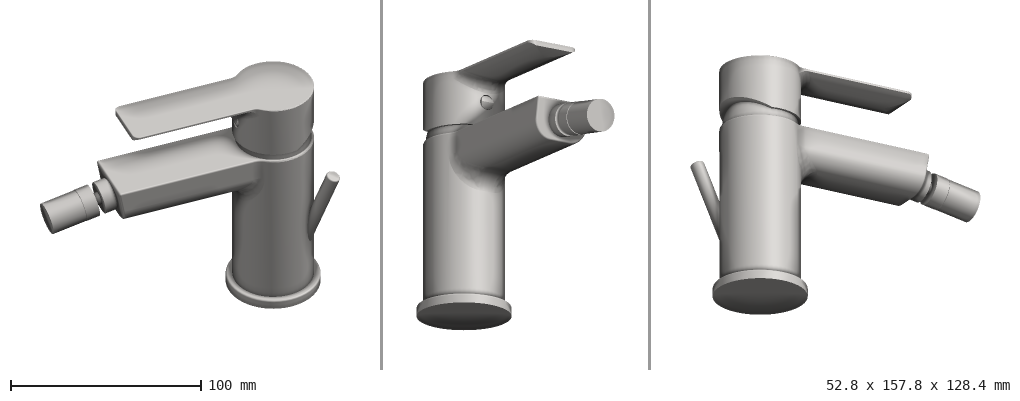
import cadquery as cq
import math

COLUMN_DIAMETER = 43.0
COLUMN_RADIUS = COLUMN_DIAMETER / 2
COLUMN_TOP = 95.0
FLANGE_DIAMETER = 50.0
FLANGE_RADIUS = FLANGE_DIAMETER / 2
FLANGE_HEIGHT = 5.2
FLANGE_ROUND = 1.0

DOME_RADIUS = 20.2

SPOUT_WIDTH = 32.2
SPOUT_HEIGHT = 22.0
SPOUT_REACH = 93.8
SPOUT_CORNER_RADIUS = 10.0
SPOUT_BLEND_RADIUS = 10.0
SPOUT_EDGE_ROUND = 1.0
OUTLET_TILT = 10.0
OUTLET_DROP = 10.7

SEAT_RADIUS = 8.2
SEAT_LENGTH = 0.6
COLLAR_RADIUS = 8.8
COLLAR_LENGTH = 6.3
NECK_RADIUS = 3.5
NECK_LENGTH = 3.5
RING_RADIUS = 8.8
RING_LENGTH = 7.4
GROOVE_RADIUS = 8.2
GROOVE_LENGTH = 0.3
TIP_RADIUS = 8.7
TIP_LENGTH = 19.0

HANDLE_RADIUS = COLUMN_RADIUS
HANDLE_BOTTOM = 99.2
HANDLE_TOP = 128.4
HANDLE_REAR_BOTTOM = 107.1
REAR_SLANT_START = 4.9
LEVER_WIDTH = 29.5
LEVER_REACH = 84.7
LEVER_CORNER_RADIUS = 3.5
LEVER_EDGE_THICKNESS = 1.3
LEVER_MIDDLE_THICKNESS = 5.5
LEVER_TIP_THICKNESS = 3.0
LEVER_TIP_CURVE_LENGTH = 9.1
LEVER_BLEND_RADIUS = 5.8
HANDLE_EDGE_ROUND = 0.5

BUTTON_HEIGHT = 112.0
BUTTON_RADIUS = 3.8
BUTTON_BORE_RADIUS = 4.1
BUTTON_PROTRUSION = 1.0
BUTTON_RIDGE_DROP = 1.5
BUTTON_BORE_DEPTH = 2.4

ROD_RADIUS = 3.8
ROD_TILT = 20.0
ROD_AZIMUTH = 45.0
ROD_TOP_HEIGHT = 78.9
ROD_TOP_OFFSET = 34.4
ROD_LENGTH = 50.5
ROD_TOP_ROUND = 0.8

SPOUT_BOTTOM = COLUMN_TOP - SPOUT_HEIGHT
LEVER_UNDERSIDE = HANDLE_TOP - LEVER_MIDDLE_THICKNESS

SELECTION_MARGIN = 1.5


def make_rod():
    """Round rod leaning away from the column, with its lower end inside it."""
    rod = cq.Workplane("XY").circle(ROD_RADIUS).extrude(-ROD_LENGTH)
    rod = rod.faces(">Z").edges().fillet(ROD_TOP_ROUND)
    rod = rod.rotate((0, 0, 0), (0, 1, 0), ROD_TILT)
    rod = rod.translate((ROD_TOP_OFFSET, 0, ROD_TOP_HEIGHT))
    return rod.rotate((0, 0, 0), (0, 0, 1), ROD_AZIMUTH)


def make_spout():
    """Straight spout with rounded lower corners and a leaning end face."""
    end_setback = SPOUT_HEIGHT * math.tan(math.radians(OUTLET_TILT))
    spout = (
        cq.Workplane("YZ")
        .moveTo(0, COLUMN_TOP)
        .lineTo(-SPOUT_REACH, COLUMN_TOP)
        .lineTo(end_setback - SPOUT_REACH, SPOUT_BOTTOM)
        .lineTo(0, SPOUT_BOTTOM)
        .close()
        .extrude(SPOUT_WIDTH / 2, both=True)
    )
    return spout.edges("|Y and <Z").fillet(SPOUT_CORNER_RADIUS)


def make_dome():
    """Ball centred on the column's top plane."""
    return cq.Workplane("XY").sphere(DOME_RADIUS).translate((0, 0, COLUMN_TOP))


def make_body(rod, dome):
    """Flanged column, spout and ball cap, with a hole for the rod."""
    flange = cq.Workplane("XY").circle(FLANGE_RADIUS).extrude(FLANGE_HEIGHT)
    flange = flange.faces(">Z").edges().fillet(FLANGE_ROUND)
    column = cq.Workplane("XY").circle(COLUMN_RADIUS).extrude(COLUMN_TOP)
    body = column.union(make_spout())

    blend_zone = cq.selectors.BoxSelector(
        (-COLUMN_RADIUS, -COLUMN_RADIUS - SELECTION_MARGIN, SPOUT_BOTTOM - SELECTION_MARGIN),
        (COLUMN_RADIUS, -SPOUT_CORNER_RADIUS, COLUMN_TOP - SELECTION_MARGIN),
    )
    body = body.edges(blend_zone).fillet(SPOUT_BLEND_RADIUS)

    end_edges = body.faces("<Y").edges().vals()
    top_edges = body.faces(">Z").edges("|Y").vals()
    body = body.newObject(end_edges + top_edges).fillet(SPOUT_EDGE_ROUND)

    return body.union(flange).union(dome).cut(rod)


def make_nozzle():
    """Seat, collar, neck, ring, groove and tip in line, square to the spout's end face."""
    steps = (
        (COLLAR_RADIUS, COLLAR_LENGTH),
        (NECK_RADIUS, NECK_LENGTH),
        (RING_RADIUS, RING_LENGTH),
        (GROOVE_RADIUS, GROOVE_LENGTH),
        (TIP_RADIUS, TIP_LENGTH),
    )
    nozzle = cq.Workplane("XZ").circle(SEAT_RADIUS).extrude(SEAT_LENGTH)
    for radius, length in steps:
        nozzle = nozzle.faces("<Y").workplane().circle(radius).extrude(length)
    face_setback = OUTLET_DROP * math.tan(math.radians(OUTLET_TILT))
    nozzle = nozzle.rotate((0, 0, 0), (1, 0, 0), OUTLET_TILT)
    return nozzle.translate((0, face_setback - SPOUT_REACH, COLUMN_TOP - OUTLET_DROP))


def make_lever():
    """Flat-topped lever with a crowned underside and rounded front corners."""
    half_width = LEVER_WIDTH / 2
    lever = (
        cq.Workplane("XZ")
        .moveTo(-half_width, HANDLE_TOP)
        .lineTo(-half_width, HANDLE_TOP - LEVER_EDGE_THICKNESS)
        .threePointArc((0, LEVER_UNDERSIDE), (half_width, HANDLE_TOP - LEVER_EDGE_THICKNESS))
        .lineTo(half_width, HANDLE_TOP)
        .close()
        .extrude(LEVER_REACH)
    )
    return lever.edges("|Z and <Y").fillet(LEVER_CORNER_RADIUS)


def make_tip_cutter():
    """Material to remove below the lever so that it thins out toward the tip."""
    return (
        cq.Workplane("YZ")
        .moveTo(-LEVER_REACH / 2, LEVER_UNDERSIDE)
        .lineTo(LEVER_TIP_CURVE_LENGTH - LEVER_REACH, LEVER_UNDERSIDE)
        .tangentArcPoint((-LEVER_REACH, HANDLE_TOP - LEVER_TIP_THICKNESS), relative=False)
        .lineTo(-LEVER_REACH, HANDLE_BOTTOM)
        .lineTo(-LEVER_REACH / 2, HANDLE_BOTTOM)
        .close()
        .extrude(LEVER_WIDTH, both=True)
    )


def make_rear_cutter():
    """Wedge below the rear of the handle that lets the lever tilt up."""
    return (
        cq.Workplane("YZ")
        .moveTo(REAR_SLANT_START, HANDLE_BOTTOM)
        .lineTo(HANDLE_RADIUS, HANDLE_REAR_BOTTOM)
        .lineTo(HANDLE_RADIUS, HANDLE_BOTTOM)
        .close()
        .extrude(HANDLE_RADIUS, both=True)
    )


def add_button(handle):
    """Button with a ridged front, standing in a wider bore in the front of the handle."""
    bore_floor = BUTTON_BORE_DEPTH - HANDLE_RADIUS
    ridge_y = -HANDLE_RADIUS - BUTTON_PROTRUSION
    floor_plane = cq.Workplane("XZ", origin=(0, bore_floor, BUTTON_HEIGHT))
    bore = floor_plane.circle(BUTTON_BORE_RADIUS).extrude(HANDLE_RADIUS)
    post = floor_plane.circle(BUTTON_RADIUS).extrude(bore_floor - ridge_y)
    ridge = (
        cq.Workplane("YZ")
        .moveTo(bore_floor, BUTTON_HEIGHT - BUTTON_RADIUS)
        .lineTo(ridge_y + BUTTON_RIDGE_DROP, BUTTON_HEIGHT - BUTTON_RADIUS)
        .lineTo(ridge_y, BUTTON_HEIGHT)
        .lineTo(ridge_y + BUTTON_RIDGE_DROP, BUTTON_HEIGHT + BUTTON_RADIUS)
        .lineTo(bore_floor, BUTTON_HEIGHT + BUTTON_RADIUS)
        .close()
        .extrude(BUTTON_RADIUS, both=True)
    )
    return handle.cut(bore).union(post.intersect(ridge))


def make_handle(dome):
    """Round cap with a lever, seated over the ball cap."""
    cap = cq.Workplane("XY", origin=(0, 0, HANDLE_BOTTOM)).circle(HANDLE_RADIUS)
    cap = cap.extrude(HANDLE_TOP - HANDLE_BOTTOM)
    handle = cap.union(make_lever())
    blend_zone = cq.selectors.BoxSelector(
        (-HANDLE_RADIUS, -HANDLE_RADIUS, LEVER_UNDERSIDE),
        (HANDLE_RADIUS, 0, HANDLE_TOP - HANDLE_EDGE_ROUND),
    )
    handle = handle.edges(blend_zone).fillet(LEVER_BLEND_RADIUS)
    handle = handle.cut(make_tip_cutter())
    handle = handle.faces(">Z").edges().fillet(HANDLE_EDGE_ROUND)
    handle = handle.cut(make_rear_cutter()).cut(dome)
    return add_button(handle)


rod = make_rod()
dome = make_dome()
body = make_body(rod, dome)
handle = make_handle(dome)
nozzle = make_nozzle()

result = cq.Compound.makeCompound([body.val(), handle.val(), nozzle.val(), rod.val()])